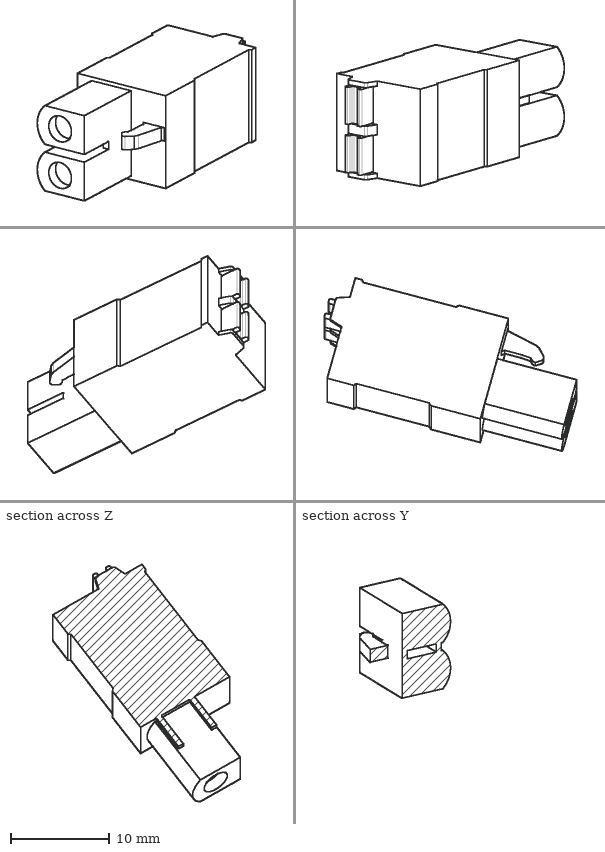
import cadquery as cq
import math


WIDTH = 10.9
HEIGHT = 10.15
BODY_LENGTH = 16.15
TOTAL_LENGTH = 26.5
WAIST_DEPTH = 0.25
WAIST_FRONT = 5.2
FRONT_STEP = 0.26
LEFT_REAR_BAND = 2.8
RIGHT_REAR_BAND = 0.75
REAR_STEP = 0.19

POLE_PITCH = 5.1
POLE_LEVELS = [HEIGHT / 2 + side * POLE_PITCH / 2 for side in (-1, 1)]

POST_LENGTH = 8.35
POST_HEIGHT = 4.25
POST_ARC_RADIUS = 2.84
POST_AXIS_X = 3.63
POST_RIGHT = 6.62
BORE_DIAMETER = 2.8
BORE_DEPTH = 1.22

SHROUD_LENGTH = 1.35
SHROUD_BASE = (5.6, 8.82)
SHROUD_TIP = (6.05, 8.37)
SHROUD_ROUND = 0.26
TERMINAL_SIDES = (6.15, 8.27)
TERMINAL_HEIGHT = 3.87
TERMINAL_GAP = 0.08
PRONG_WIDTH = 0.53
PRONG_ROOT_ROUND = 0.15
PRONG_TIP_ROUND = 0.19

RIB_LEFT = 1.93
RIB_WIDTH = 0.64
RIB_LENGTH = 4.03

LATCH_THICKNESS = 1.45
LATCH_BOTTOM = 5.17

TERMINAL_LENGTH = TOTAL_LENGTH - POST_LENGTH - BODY_LENGTH


def housing():
    """Block whose side walls step in between the front and rear bands."""
    left_rear = BODY_LENGTH - LEFT_REAR_BAND
    right_rear = BODY_LENGTH - RIGHT_REAR_BAND
    outline = [
        (0, 0),
        (WIDTH, 0),
        (WIDTH, WAIST_FRONT),
        (WIDTH - WAIST_DEPTH, WAIST_FRONT + FRONT_STEP),
        (WIDTH - WAIST_DEPTH, right_rear - REAR_STEP),
        (WIDTH, right_rear),
        (WIDTH, BODY_LENGTH),
        (0, BODY_LENGTH),
        (0, left_rear),
        (WAIST_DEPTH, left_rear - REAR_STEP),
        (WAIST_DEPTH, WAIST_FRONT + FRONT_STEP),
        (0, WAIST_FRONT),
    ]
    return cq.Workplane("XY").polyline(outline).close().extrude(HEIGHT)


def post(level):
    """Flat-sided contact post with a round left side and a blind bore in its tip."""
    half = POST_HEIGHT / 2
    arc_end_x = POST_AXIS_X - math.sqrt(POST_ARC_RADIUS**2 - half**2)
    solid = (
        cq.Workplane("XZ")
        .moveTo(arc_end_x, level - half)
        .lineTo(POST_RIGHT, level - half)
        .lineTo(POST_RIGHT, level + half)
        .lineTo(arc_end_x, level + half)
        .threePointArc((POST_AXIS_X - POST_ARC_RADIUS, level), (arc_end_x, level - half))
        .close()
        .extrude(POST_LENGTH)
    )
    bore = (
        cq.Workplane("XZ", origin=(POST_AXIS_X, -POST_LENGTH, level))
        .circle(BORE_DIAMETER / 2)
        .extrude(-BORE_DEPTH)
    )
    return solid.cut(bore)


def rib(left):
    """Short rib filling the gap between the posts."""
    gap = POLE_PITCH - POST_HEIGHT
    return cq.Workplane("XY").box(RIB_WIDTH, RIB_LENGTH, gap, centered=False).translate(
        (left, -RIB_LENGTH, (HEIGHT - gap) / 2)
    )


def latch():
    """Tapered latch arm with a hooked, rounded end."""
    return (
        cq.Workplane("XY", origin=(0, 0, LATCH_BOTTOM))
        .moveTo(8.15, 0)
        .lineTo(8.4, -0.26)
        .lineTo(8.4, -2.07)
        .lineTo(8.32, -3.05)
        .threePointArc((8.08, -3.29), (7.98, -3.6))
        .lineTo(8.37, -4.21)
        .threePointArc((8.59, -4.32), (8.82, -4.27))
        .lineTo(9.55, -3.63)
        .lineTo(9.75, -3.2)
        .lineTo(10.45, -0.13)
        .lineTo(10.73, 0)
        .close()
        .extrude(LATCH_THICKNESS)
    )


def shroud():
    """Tapered rear hood with a window around each terminal."""
    tip_y = BODY_LENGTH + SHROUD_LENGTH
    outline = [
        (SHROUD_BASE[0], BODY_LENGTH),
        (SHROUD_BASE[1], BODY_LENGTH),
        (SHROUD_TIP[1], tip_y),
        (SHROUD_TIP[0], tip_y),
    ]
    hood = cq.Workplane("XY").polyline(outline).close().extrude(HEIGHT)
    hood = hood.edges("|Z and >Y").fillet(SHROUD_ROUND)
    window_height = TERMINAL_HEIGHT + 2 * TERMINAL_GAP
    for level in POLE_LEVELS:
        window = cq.Workplane("XY").box(
            WIDTH, SHROUD_LENGTH, window_height, centered=(False, False, True)
        )
        hood = hood.cut(window.translate((0, BODY_LENGTH, level)))
    return hood


def terminal(level):
    """Block ending in two rounded prongs with a filleted channel between them."""
    left, right = TERMINAL_SIDES
    width = right - left
    bottom = level - TERMINAL_HEIGHT / 2
    prong_length = TERMINAL_LENGTH - SHROUD_LENGTH
    block = cq.Workplane("XY").box(width, TERMINAL_LENGTH, TERMINAL_HEIGHT, centered=False)
    channel = (
        cq.Workplane("XY")
        .box(width - 2 * PRONG_WIDTH, prong_length, TERMINAL_HEIGHT, centered=False)
        .edges("|Z and <Y")
        .fillet(PRONG_ROOT_ROUND)
        .translate((PRONG_WIDTH, SHROUD_LENGTH, 0))
    )
    forked = block.cut(channel).edges("|Z and >Y").fillet(PRONG_TIP_ROUND)
    return forked.translate((left, BODY_LENGTH, bottom))


result = housing().union(shroud()).union(latch())
for pole_level in POLE_LEVELS:
    result = result.union(post(pole_level)).union(terminal(pole_level))
for rib_left in (RIB_LEFT, POST_RIGHT - RIB_WIDTH):
    result = result.union(rib(rib_left))